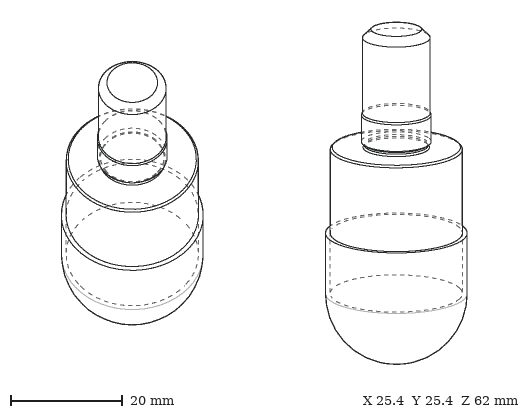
import cadquery as cq

total_height = 62.0
cap_radius = 12.7
cap_top = 24.0
body_radius = 11.85
body_bottom = cap_radius
body_top = 40.0
body_chamfer = 0.4

stud_radius = 6.1
stud_chamfer = 1.55
collar_radius = 6.25
collar_bottom = 41.05
collar_top = 46.0
collar_taper_height = 0.4

groove_radius = 5.7
groove_foot_radius = 5.95
groove_foot_height = 0.4
groove_neck_top = collar_bottom - 0.4


def revolve_about_z(profile):
    """Turn a closed half-profile in the XZ plane around the Z axis."""
    return profile.revolve(360, (0, 0, 0), (0, 1, 0))


def make_pin():
    """Turned pin: cylindrical body, relief groove, collar and stud."""
    profile = (
        cq.Workplane("XZ")
        .moveTo(0, body_bottom)
        .lineTo(body_radius, body_bottom)
        .lineTo(body_radius, body_top - body_chamfer)
        .lineTo(body_radius - body_chamfer, body_top)
        .lineTo(groove_foot_radius, body_top)
        .lineTo(groove_radius, body_top + groove_foot_height)
        .lineTo(groove_radius, groove_neck_top)
        .lineTo(collar_radius, collar_bottom)
        .lineTo(collar_radius, collar_top)
        .lineTo(stud_radius, collar_top + collar_taper_height)
        .lineTo(stud_radius, total_height - stud_chamfer)
        .lineTo(stud_radius - stud_chamfer, total_height)
        .lineTo(0, total_height)
        .close()
    )
    return revolve_about_z(profile)


def make_cap():
    """Domed cap with a round socket that holds the lower part of the pin body."""
    profile = (
        cq.Workplane("XZ")
        .lineTo(0, body_bottom)
        .lineTo(body_radius, body_bottom)
        .lineTo(body_radius, cap_top)
        .lineTo(cap_radius, cap_top)
        .lineTo(cap_radius, cap_radius)
        .radiusArc((0, 0), cap_radius)
        .close()
    )
    return revolve_about_z(profile)


pin = make_pin()
cap = make_cap()

result = cq.Compound.makeCompound([pin.val(), cap.val()])